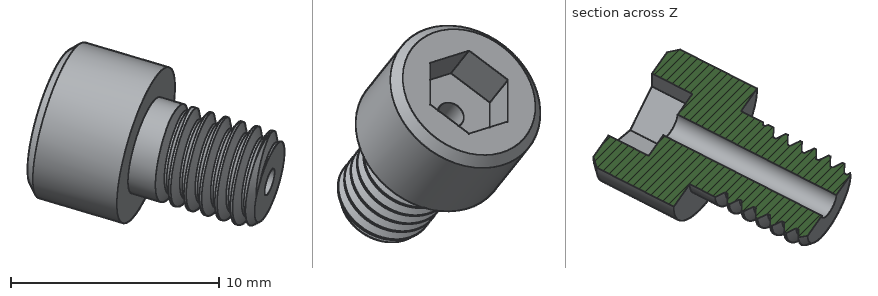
import cadquery as cq
import math

total_length = 11.13
head_diameter = 7.81
head_length = 4.77
head_chamfer = 0.46
socket_across_flats = 4.05
socket_depth = 2.25
bore_diameter = 1.34

thread_radius = 4.83 / 2
root_radius = 3.87 / 2
pitch = 0.794
root_flat = 0.12
flank_angle = 30.0
tip_chamfer_length = 0.45
tip_chamfer_depth = 0.4

full_depth_start = 6.33
full_depth_angle = 180.0
lead_in_angle = 130.0
lead_in_sections = 8
shank_seam_angle = 90.0
cutter_overlap = 0.07
thread_depth = thread_radius - root_radius


def groove_profile(angle, height, depth):
    """Trapezoidal groove section in the radial plane at the given angle."""
    inner = thread_radius - depth
    outer = thread_radius + cutter_overlap
    inner_half = root_flat / 2
    outer_half = inner_half + (outer - inner) * math.tan(math.radians(flank_angle))
    corners = [
        (inner, -inner_half),
        (outer, -outer_half),
        (outer, outer_half),
        (inner, inner_half),
    ]
    turn = math.radians(angle)
    points = [
        cq.Vector(r * math.cos(turn), r * math.sin(turn), height + z)
        for r, z in corners
    ]
    return cq.Wire.makePolygon(points, close=True)


def lead_in_groove():
    """Groove that deepens steadily up to the start of the full thread."""
    sections = []
    for i in range(lead_in_sections + 1):
        fraction = i / lead_in_sections
        angle_left = lead_in_angle * (1 - fraction)
        height = full_depth_start - pitch * angle_left / 360
        depth = (thread_depth + cutter_overlap / 2) * fraction - cutter_overlap / 2
        depth = min(depth, thread_depth)
        sections.append(groove_profile(full_depth_angle - angle_left, height, depth))
    return cq.Solid.makeLoft(sections)


def full_groove():
    """Full-depth helical groove, continuing one pitch beyond the tip."""
    helix_height = total_length + pitch - full_depth_start
    path = cq.Wire.makeHelix(pitch, helix_height, root_radius)
    path = path.rotate(cq.Vector(), cq.Vector(0, 0, 1), full_depth_angle)
    path = path.translate(cq.Vector(0, 0, full_depth_start))
    profile = groove_profile(full_depth_angle, full_depth_start, thread_depth)
    return cq.Solid.sweep(profile, [], path, True, True)


def head():
    blank = cq.Workplane("XY").circle(head_diameter / 2).extrude(head_length)
    return blank.faces("<Z").chamfer(head_chamfer)


def tip_chamfer_ring():
    """Ring of triangular section that bevels the tip."""
    slope = tip_chamfer_depth / tip_chamfer_length
    outer = thread_radius + cutter_overlap
    tip_radius = thread_radius - tip_chamfer_depth
    start = total_length - (outer - tip_radius) / slope
    section = [(tip_radius, total_length), (outer, total_length), (outer, start)]
    return cq.Workplane("XZ").polyline(section).close().revolve(360, (0, 0), (0, 1))


def threaded_shank():
    shank = (
        cq.Workplane("XY")
        .workplane(offset=head_length)
        .circle(thread_radius)
        .extrude(total_length - head_length)
    )
    shank = shank.rotate((0, 0, 0), (0, 0, 1), shank_seam_angle)
    shank = shank.cut(cq.Workplane(lead_in_groove()))
    shank = shank.cut(cq.Workplane(full_groove()))
    return shank.cut(tip_chamfer_ring())


def socket():
    across_corners = socket_across_flats / math.cos(math.radians(30))
    return cq.Workplane("XY").polygon(6, across_corners).extrude(socket_depth)


def bore():
    return cq.Workplane("XY").circle(bore_diameter / 2).extrude(total_length)


screw = head().union(threaded_shank()).cut(socket()).cut(bore())
result = screw.rotate((0, 0, 0), (0, 1, 0), 90)